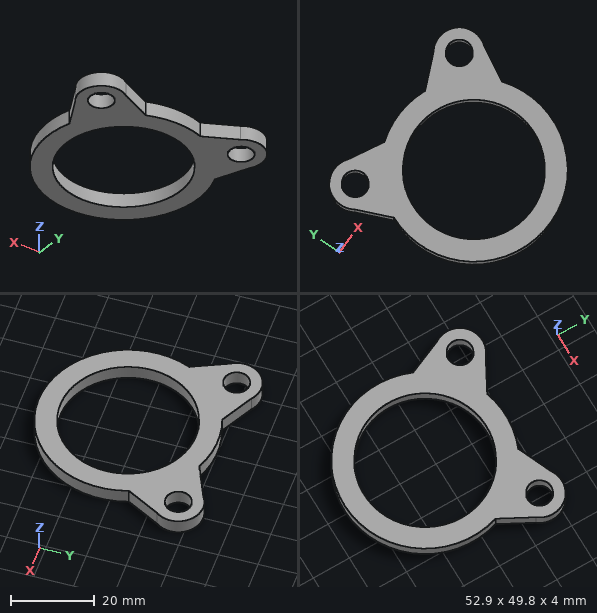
import cadquery as cq
import math

thickness = 4.0
ring_radius = 22.5
bore_radius = 17.0

overall_width = 52.9
right_ear_angle = 42.5
ear_angles = (right_ear_angle, right_ear_angle + 90)
ear_radius = 6.25
ear_span_per_distance = sum(abs(math.cos(math.radians(angle))) for angle in ear_angles)
ear_distance = (overall_width - 2 * ear_radius) / ear_span_per_distance
ear_hole_radius = 3.25

flank_tip_offset = 0.95
flank_tip_half_width = math.sqrt(ear_radius**2 - flank_tip_offset**2)
flank_root_half_width = 9.3
flank_root_distance = math.sqrt(ring_radius**2 - flank_root_half_width**2)


def make_ear(angle):
    """Lug on the +X axis with tapered flanks and a rounded end, turned to its angle."""
    flank_tip_distance = ear_distance + flank_tip_offset
    ear = (
        cq.Workplane("XY")
        .moveTo(flank_root_distance, -flank_root_half_width)
        .lineTo(flank_tip_distance, -flank_tip_half_width)
        .threePointArc((ear_distance + ear_radius, 0), (flank_tip_distance, flank_tip_half_width))
        .lineTo(flank_root_distance, flank_root_half_width)
        .close()
        .extrude(thickness)
    )
    return ear.rotate((0, 0, 0), (0, 0, 1), angle)


def make_ear_hole(angle):
    """Through hole concentric with the rounded end of an ear."""
    hole = cq.Workplane("XY").center(ear_distance, 0).circle(ear_hole_radius).extrude(thickness)
    return hole.rotate((0, 0, 0), (0, 0, 1), angle)


result = cq.Workplane("XY").circle(ring_radius).extrude(thickness)
for ear_angle in ear_angles:
    result = result.union(make_ear(ear_angle))
    result = result.cut(make_ear_hole(ear_angle))

result = result.cut(cq.Workplane("XY").circle(bore_radius).extrude(thickness))